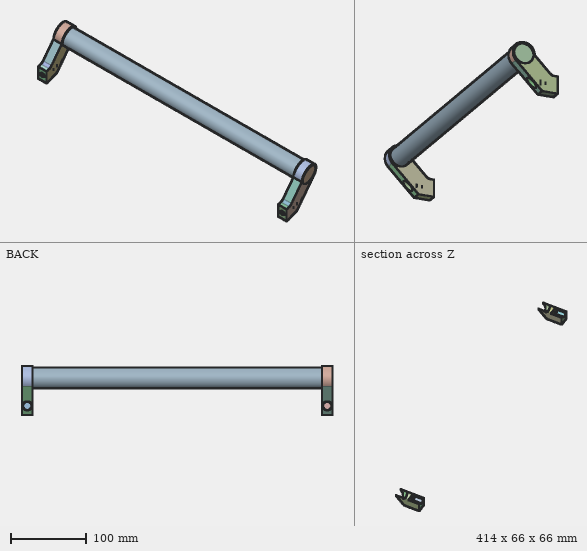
import cadquery as cq
import math

length = 414.0
bracket_extent = 66.0
bracket_thickness = 14.0

bar_radius = 14.0
head_radius = 16.0

foot_height = 25.0
inner_corner_radius = 7.0
foot_front_y = head_radius - bracket_extent
foot_bottom_z = head_radius - bracket_extent
foot_top_z = foot_bottom_z + foot_height

hole_axis_z = foot_bottom_z + foot_height / 2
front_hole_diameter = 7.0
front_hole_depth = 12.5
rear_bore_diameter = 12.0
rear_bore_floor_y = -25.0
deep_bore_diameter = 11.0
deep_bore_floor_y = -32.5


def make_bar():
    """Solid round bar reaching through both brackets to their outer faces."""
    return cq.Workplane("YZ").circle(bar_radius).extrude(length)


def bracket_blank():
    """Round head, arm sloping at 45 degrees, and upright foot, in the plane X = 0."""
    tangent = head_radius * math.sin(math.radians(45))
    lower_corner_y = foot_bottom_z + 2 * tangent
    inner_corner_y = foot_top_z - head_radius
    outline = (
        cq.Workplane("YZ")
        .moveTo(-head_radius, 0)
        .threePointArc((tangent, tangent), (tangent, -tangent))
        .lineTo(lower_corner_y, foot_bottom_z)
        .lineTo(foot_front_y, foot_bottom_z)
        .lineTo(foot_front_y, foot_top_z)
        .lineTo(inner_corner_y, foot_top_z)
        .close()
    )
    blank = outline.extrude(bracket_thickness)
    inner_corner = cq.selectors.NearestToPointSelector((bracket_thickness / 2, inner_corner_y, foot_top_z))
    return blank.edges(inner_corner).fillet(inner_corner_radius)


def hole_tool(diameter, start_y, end_y):
    """Cylinder on the hole axis from start_y back to end_y."""
    start = cq.Vector(bracket_thickness / 2, start_y, hole_axis_z)
    tool = cq.Solid.makeCylinder(diameter / 2, end_y - start_y, start, cq.Vector(0, 1, 0))
    return cq.Workplane(tool)


def make_bracket(x_start):
    """Bracket with bar socket, blind front hole and stepped rear bore, starting at x_start."""
    bracket = bracket_blank()
    bracket = bracket.cut(cq.Workplane("YZ").circle(bar_radius).extrude(bracket_thickness))
    bracket = bracket.cut(hole_tool(front_hole_diameter, foot_front_y, foot_front_y + front_hole_depth))
    bracket = bracket.cut(hole_tool(deep_bore_diameter, deep_bore_floor_y, head_radius))
    bracket = bracket.cut(hole_tool(rear_bore_diameter, rear_bore_floor_y, head_radius))
    return bracket.translate((x_start, 0, 0))


bar = make_bar()
brackets = [make_bracket(x_start) for x_start in (0, length - bracket_thickness)]

result = cq.Compound.makeCompound([bar.val(), *[bracket.val() for bracket in brackets]])